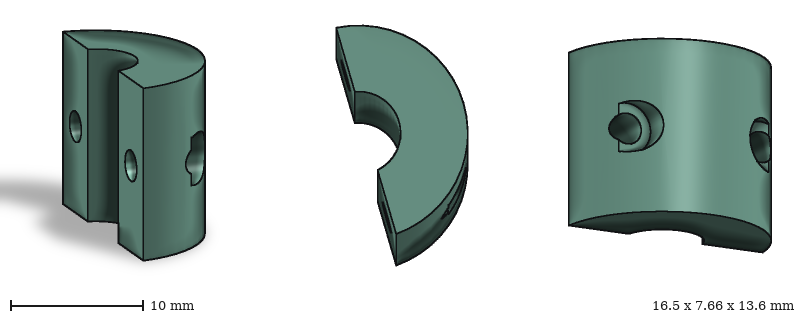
import cadquery as cq
import math

width = 16.47
depth = 7.66
height = 13.57
bore_radius = 3.18
hole_spacing = 11.33
hole_diameter = 2.4
counterbore_diameter = 3.99
seat_distance = 4.65

outer_radius = ((width / 2) ** 2 + depth ** 2) / (2 * depth)
mating_y = outer_radius - depth
seat_y = mating_y + seat_distance
bore_half_width = math.sqrt(bore_radius ** 2 - mating_y ** 2)


def ring_body():
    """Half ring bounded by the outer arc, the bore and the mating face."""
    return (
        cq.Workplane("XY")
        .moveTo(-width / 2, mating_y)
        .threePointArc((0, outer_radius), (width / 2, mating_y))
        .lineTo(bore_half_width, mating_y)
        .threePointArc((0, bore_radius), (-bore_half_width, mating_y))
        .close()
        .extrude(height)
    )


def cylinder_along_y(diameter, x, start_y):
    """Cutter at mid height, running from start_y out past the ring."""
    return cq.Workplane(
        cq.Solid.makeCylinder(
            diameter / 2, outer_radius, cq.Vector(x, start_y, height / 2), cq.Vector(0, 1, 0)
        )
    )


result = ring_body()
for side in (-1, 1):
    hole_x = side * hole_spacing / 2
    result = result.cut(cylinder_along_y(hole_diameter, hole_x, 0))
    result = result.cut(cylinder_along_y(counterbore_diameter, hole_x, seat_y))